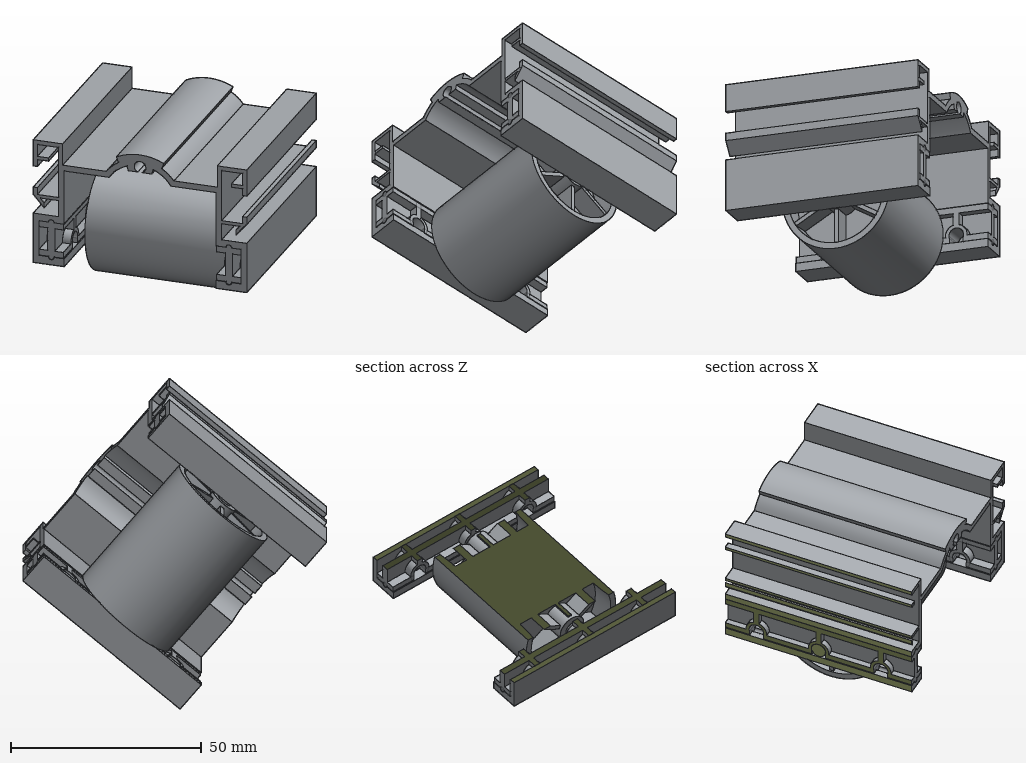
import cadquery as cq
import math


RAIL_WIDTH = 59.5
RAIL_LENGTH = 54.0
RAIL_TOP = 30.7
RAIL_BOTTOM = -4.35
HALF_WIDTH = RAIL_WIDTH / 2

WALL = 1.6
WEB_INNER_X = 21.1
WEB_OUTER_X = WEB_INNER_X + WALL
ROOF_TOP = 24.65
ROOF_BOTTOM = ROOF_TOP - WALL

HOOK_WALL = 1.2
HOOK_WIDTH = 8.2
HOOK_INNER_X = HALF_WIDTH - HOOK_WIDTH
HOOK_LIP_BOTTOM = 23.2
TAB_TOP = 26.1
TAB_THICKNESS = 0.95
TAB_TIP_X = 25.45

SHELF_TOP = 15.25
SHELF_THICKNESS = 0.9
LOWER_LIP_TOP = 17.2
BARB_START_Z = 15.1
BARB_TIP_X = 26.7
BARB_TIP_Z = 11.65
BARB_ROOT_X = 27.8

CHANNEL_TOP = 9.75
CAVITY_TOP = 7.8
CAVITY_BOTTOM = -2.1
CAVITY_OUTER_X = 28.1

ARCH_CENTER_Z = 17.4
ARCH_OUTER_RADIUS = 11.9
ARCH_INNER_RADIUS = ARCH_OUTER_RADIUS - WALL
CAP_RADIUS = 15.0
CAP_HALF_WIDTH = 6.6
CAP_FOOT_HALF_WIDTH = 6.0
SCREW_BLOCK_HALF_WIDTH = 3.3
SCREW_BLOCK_TOP_HALF_WIDTH = 3.6
SCREW_BLOCK_BOTTOM = 25.7
SCREW_BORE_RADIUS = 1.6
SCREW_BORE_Z = 27.2

STRIP_WIDTH = 6.7
STRIP_HEIGHT = 9.75
STRIP_FLANGE = 1.65
STRIP_WEB = 1.95
STRIP_TOP = CAVITY_TOP
STRIP_BOTTOM = STRIP_TOP - STRIP_HEIGHT
STRIP_MIDDLE_X = CAVITY_OUTER_X - STRIP_WIDTH / 2
RIDGE_RADIUS = 0.8
BOSS_RADIUS = 3.05
BOSS_COUNT = 3
BOSS_PITCH = RAIL_LENGTH / BOSS_COUNT
BOSS_RIB = 1.65

AXLE_RADIUS = 2.0
AXLE_THROAT = 3.85
AXLE_LENGTH = 2 * CAVITY_OUTER_X
ROLLER_RADIUS = 15.0
ROLLER_LENGTH = 39.4
ROLLER_RIM = 1.65
HUB_RADIUS = 3.9
HUB_OVERHANG = 0.4
SPOKE_COUNT = 6
SPOKE_WIDTH = 1.15
POCKET_DEPTH = 5.95
POCKET_DRAFT = 0.4
SPOKE_RECESS = 0.5


def along_rail(sketch):
    """Extrude an XZ sketch over the whole rail length, centred on Y = 0."""
    return sketch.extrude(RAIL_LENGTH / 2, both=True)


def bar(x_start, x_end, z_start, z_end):
    """Straight bar along the rail with a rectangular section."""
    center = ((x_start + x_end) / 2, (z_start + z_end) / 2)
    return along_rail(cq.Workplane("XZ").center(*center).rect(abs(x_end - x_start), abs(z_end - z_start)))


def rod(x, z, radius):
    """Round rod along the rail."""
    return along_rail(cq.Workplane("XZ").center(x, z).circle(radius))


def prism(points):
    """Straight bar along the rail with a polygonal section."""
    return along_rail(cq.Workplane("XZ").polyline(points).close())


def x_cylinder(radius, length, y=0.0):
    """Cylinder parallel to X at Z = 0, centred on X = 0."""
    start = cq.Plane(origin=(-length / 2, y, 0), xDir=(0, -1, 0), normal=(1, 0, 0))
    return cq.Workplane(start).circle(radius).extrude(length)


def circle_height(radius, center_z, x):
    """Z of the upper half of a circle centred on X = 0."""
    return center_z + math.sqrt(radius**2 - x**2)


def upper_hook():
    lip_inner_x = HALF_WIDTH - HOOK_WALL
    top = bar(HOOK_INNER_X, HALF_WIDTH, RAIL_TOP - HOOK_WALL, RAIL_TOP)
    inner_wall = bar(HOOK_INNER_X, WEB_OUTER_X, ROOF_BOTTOM, RAIL_TOP)
    lip = bar(lip_inner_x, HALF_WIDTH, HOOK_LIP_BOTTOM, RAIL_TOP)
    tab = bar(TAB_TIP_X, HALF_WIDTH, TAB_TOP - TAB_THICKNESS, TAB_TOP)
    return top.union(inner_wall).union(lip).union(tab)


def lower_hook():
    shelf_bottom = SHELF_TOP - SHELF_THICKNESS
    lip_inner_x = HALF_WIDTH - HOOK_WALL
    barb_slope = (BARB_START_Z - BARB_TIP_Z) / (HALF_WIDTH - BARB_TIP_X)
    barb_inner_z = shelf_bottom - barb_slope * (BARB_ROOT_X - BARB_TIP_X)
    return prism([
        (WEB_INNER_X, SHELF_TOP),
        (lip_inner_x, SHELF_TOP),
        (lip_inner_x, LOWER_LIP_TOP),
        (HALF_WIDTH, LOWER_LIP_TOP),
        (HALF_WIDTH, BARB_START_Z),
        (BARB_TIP_X, BARB_TIP_Z),
        (BARB_TIP_X, barb_inner_z),
        (BARB_ROOT_X, shelf_bottom),
        (WEB_INNER_X, shelf_bottom),
    ])


def strip_channel():
    block = bar(WEB_INNER_X, HALF_WIDTH, RAIL_BOTTOM, CHANNEL_TOP)
    cavity = bar(WEB_INNER_X, CAVITY_OUTER_X, CAVITY_BOTTOM, CAVITY_TOP)
    for groove_z in (CAVITY_BOTTOM, CAVITY_TOP):
        cavity = cavity.union(rod(STRIP_MIDDLE_X, groove_z, RIDGE_RADIUS))
    return block.cut(cavity)


def rail_side():
    """Everything outside the roof on the +X side."""
    web = bar(WEB_INNER_X, WEB_OUTER_X, CAVITY_TOP, ROOF_TOP)
    return web.union(upper_hook()).union(lower_hook()).union(strip_channel())


def crown_cap():
    """Thick cap on the arch with flanks that slant inward to the arch."""
    cap_edge_z = circle_height(CAP_RADIUS, RAIL_TOP - CAP_RADIUS, CAP_HALF_WIDTH)
    foot_z = circle_height(ARCH_OUTER_RADIUS, ARCH_CENTER_Z, CAP_FOOT_HALF_WIDTH)
    arch_middle_z = ARCH_CENTER_Z + (ARCH_OUTER_RADIUS + ARCH_INNER_RADIUS) / 2
    return along_rail(
        cq.Workplane("XZ")
        .moveTo(-CAP_HALF_WIDTH, cap_edge_z)
        .threePointArc((0, RAIL_TOP), (CAP_HALF_WIDTH, cap_edge_z))
        .lineTo(CAP_FOOT_HALF_WIDTH, foot_z)
        .threePointArc((0, arch_middle_z), (-CAP_FOOT_HALF_WIDTH, foot_z))
        .close()
    )


def screw_block():
    """Block under the arch that carries the screw channel."""
    block_top = circle_height(ARCH_INNER_RADIUS, ARCH_CENTER_Z, SCREW_BLOCK_TOP_HALF_WIDTH)
    arch_top = ARCH_CENTER_Z + ARCH_OUTER_RADIUS
    return prism([
        (-SCREW_BLOCK_HALF_WIDTH, SCREW_BLOCK_BOTTOM),
        (SCREW_BLOCK_HALF_WIDTH, SCREW_BLOCK_BOTTOM),
        (SCREW_BLOCK_TOP_HALF_WIDTH, block_top),
        (0, arch_top),
        (-SCREW_BLOCK_TOP_HALF_WIDTH, block_top),
    ])


def roof():
    plate = bar(-WEB_OUTER_X, WEB_OUTER_X, ROOF_BOTTOM, ROOF_TOP)
    arch = rod(0, ARCH_CENTER_Z, ARCH_OUTER_RADIUS)
    above_plate = bar(-HALF_WIDTH, HALF_WIDTH, ROOF_BOTTOM, RAIL_TOP)
    hollow = rod(0, ARCH_CENTER_Z, ARCH_INNER_RADIUS)
    vault = plate.union(arch.intersect(above_plate)).cut(hollow)
    crown = vault.union(crown_cap()).union(screw_block())
    return crown.cut(rod(0, SCREW_BORE_Z, SCREW_BORE_RADIUS))


def make_rail():
    side = rail_side()
    return roof().union(side).union(side.mirror("YZ"))


def make_strip(side):
    """I-shaped bearing strip with ridges and one slotted boss per axle place; side is +1 or -1."""
    middle_x = side * STRIP_MIDDLE_X
    left_x = middle_x - STRIP_WIDTH / 2
    right_x = middle_x + STRIP_WIDTH / 2
    strip = bar(middle_x - STRIP_WEB / 2, middle_x + STRIP_WEB / 2, STRIP_BOTTOM, STRIP_TOP)
    strip = strip.union(bar(left_x, right_x, STRIP_TOP - STRIP_FLANGE, STRIP_TOP))
    strip = strip.union(bar(left_x, right_x, STRIP_BOTTOM, STRIP_BOTTOM + STRIP_FLANGE))
    for ridge_z in (STRIP_BOTTOM, STRIP_TOP):
        strip = strip.union(rod(middle_x, ridge_z, RIDGE_RADIUS))

    envelope = bar(left_x, right_x, STRIP_BOTTOM, STRIP_TOP)
    for index in range(BOSS_COUNT):
        boss_y = (index - (BOSS_COUNT - 1) / 2) * BOSS_PITCH
        boss = x_cylinder(BOSS_RADIUS, RAIL_WIDTH, boss_y)
        rib = cq.Workplane("XY").center(0, boss_y).rect(RAIL_WIDTH, BOSS_RIB).extrude(STRIP_TOP)
        strip = strip.union(boss.union(rib).intersect(envelope))

        slot = cq.Workplane("XY").center(0, boss_y).rect(RAIL_WIDTH, AXLE_THROAT).extrude(RAIL_BOTTOM)
        strip = strip.cut(slot).cut(x_cylinder(AXLE_RADIUS, RAIL_WIDTH, boss_y))
    return strip


def make_axle():
    return x_cylinder(AXLE_RADIUS, AXLE_LENGTH)


def roller_blank():
    """Turned roller: hub and rim joined by a disc, with a drafted ring recess in each end."""
    end_x = ROLLER_LENGTH / 2
    hub_end_x = end_x + HUB_OVERHANG
    floor_x = end_x - POCKET_DEPTH
    mouth_radius = ROLLER_RADIUS - ROLLER_RIM
    floor_radius = mouth_radius - POCKET_DRAFT
    half_profile = [
        (hub_end_x, AXLE_RADIUS),
        (hub_end_x, HUB_RADIUS),
        (floor_x, HUB_RADIUS),
        (floor_x, floor_radius),
        (end_x, mouth_radius),
        (end_x, ROLLER_RADIUS),
    ]
    other_half = [(-x, radius) for x, radius in reversed(half_profile)]
    profile = cq.Workplane("XY").polyline(half_profile + other_half).close()
    return profile.revolve(360, (0, 0, 0), (1, 0, 0))


def make_roller():
    roller = roller_blank()
    inner_radius = (AXLE_RADIUS + HUB_RADIUS) / 2
    outer_radius = ROLLER_RADIUS - ROLLER_RIM / 2
    spoke = (
        cq.Workplane("XY")
        .workplane(offset=inner_radius)
        .rect(ROLLER_LENGTH - 2 * SPOKE_RECESS, SPOKE_WIDTH)
        .extrude(outer_radius - inner_radius)
    )
    for index in range(SPOKE_COUNT):
        roller = roller.union(spoke.rotate((0, 0, 0), (1, 0, 0), index * 360 / SPOKE_COUNT))
    return roller


rail = make_rail()
strips = [make_strip(side) for side in (-1, 1)]
axle = make_axle()
roller = make_roller()

result = cq.Compound.makeCompound([
    rail.val(),
    *[strip.val() for strip in strips],
    axle.val(),
    roller.val(),
])